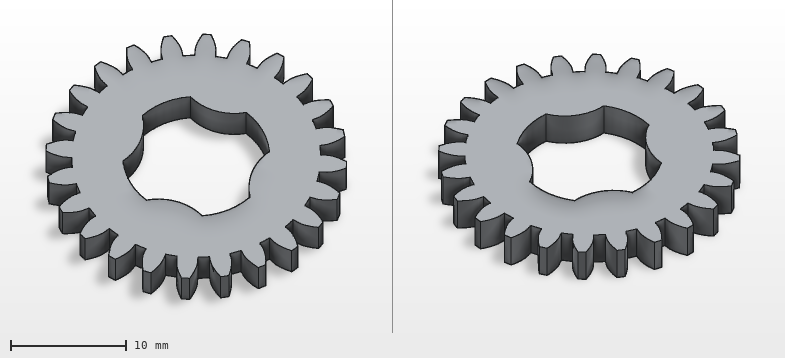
import cadquery as cq
import math

teeth = 24
tip_diameter = 26.0
thickness = 3.12
pressure_angle = math.radians(20)

addendum = 1.0
dedendum = 1.25
module = tip_diameter / (teeth + 2 * addendum)
tip_radius = tip_diameter / 2
pitch_radius = module * teeth / 2
base_radius = pitch_radius * math.cos(pressure_angle)
root_radius = pitch_radius - dedendum * module

bore_radius = 6.35
lobe_count = 4
lobe_radius = 4.9
lobe_inner_reach = 5.1

flank_points = 8
tooth_overlap = 0.25


def involute(angle):
    return math.tan(angle) - angle


base_half_angle = math.pi / (2 * teeth) + involute(pressure_angle)


def involute_point(radius):
    """Point on the upper flank of the tooth centred on +X."""
    angle = base_half_angle - involute(math.acos(base_radius / radius))
    return radius * math.cos(angle), radius * math.sin(angle)


def mirrored(points):
    """Mirror points across the tooth centreline, in reverse order."""
    return [(x, -y) for x, y in reversed(points)]


def make_tooth():
    step = (tip_radius - base_radius) / (flank_points - 1)
    inner_radii = [base_radius + i * step for i in range(flank_points - 1)]
    upper_flank = [involute_point(r) for r in inner_radii + [tip_radius]]
    lower_flank = mirrored(upper_flank)

    foot_x = root_radius - tooth_overlap
    foot_y = upper_flank[0][1]
    return (
        cq.Workplane("XY")
        .moveTo(foot_x, foot_y)
        .lineTo(*upper_flank[0])
        .spline(upper_flank[1:], includeCurrent=True)
        .threePointArc((tip_radius, 0), lower_flank[0])
        .spline(lower_flank[1:], includeCurrent=True)
        .lineTo(foot_x, -foot_y)
        .close()
        .extrude(thickness)
    )


def make_bore():
    bore = cq.Workplane("XY").circle(bore_radius).extrude(thickness)
    lobes = (
        cq.Workplane("XY")
        .polarArray(lobe_inner_reach + lobe_radius, 0, 360, lobe_count)
        .circle(lobe_radius)
        .extrude(thickness)
    )
    return bore.cut(lobes)


gear = cq.Workplane("XY").circle(root_radius).extrude(thickness)
tooth = make_tooth()
for i in range(teeth):
    gear = gear.union(tooth.rotate((0, 0, 0), (0, 0, 1), i * 360 / teeth))

result = gear.cut(make_bore())